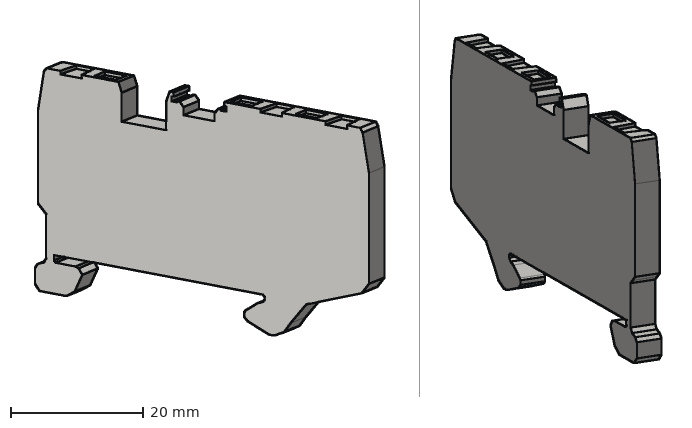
import cadquery as cq

length = 61.2
thickness = 4.2
height = 35.4

notch_left = 15.9
notch_right = 24.05
notch_depth = 6.2
notch_flare_depth = 1.6
notch_flare = 0.6
seat_center = 30.05
seat_depth = 3.3

underside = 6.1
foot_top = 4.95
wall_left = 0.55
neck_left = 2.0

recess_depth = 0.55
window_centers = (12.4, 37.35, 49.25)
window_length = 3.9
window_width = 2.75
taper_centers = (6.6, 43.25, 55.2)
taper_back_length = 3.25
taper_front_length = 3.9
taper_back_margin = 0.35

seat_half = [
    (4.65, 0),
    (4.6, 0.7),
    (5.0, 0.75),
    (5.0, 1.45),
    (4.1, 1.45),
    (3.85, 1.2),
    (3.55, 1.2),
    (2.8, 2.0),
    (2.8, seat_depth),
]


def top_edge():
    """Points along the top, from the left shoulder to the right shoulder."""
    left_corner = [
        (wall_left, height - 6.85),
        (1.65, height - 0.5),
        (2.15, height),
    ]
    notch = [
        (notch_left - notch_flare, height),
        (notch_left, height - notch_flare_depth),
        (notch_left, height - notch_depth),
        (notch_right, height - notch_depth),
        (notch_right, height - notch_flare_depth),
        (notch_right + notch_flare, height),
    ]
    seat_left = [(seat_center - x, height - d) for x, d in seat_half]
    seat_right = [(seat_center + x, height - d) for x, d in reversed(seat_half)]
    right_corner = [
        (59.6, height),
        (60.05, height - 0.7),
        (length, height - 6.85),
    ]
    return left_corner + notch + seat_left + seat_right + right_corner


def right_foot():
    """Points from the right wall, around the right foot, to the underside."""
    return [
        (length, 11.0),
        (59.85, 9.3),
        (49.7, 5.9),
        (46.8, 2.45),
        (45.6, 0.8),
        (43.8, 0),
        (42.9, 0),
        (39.0, 1.45),
        (38.3, 2.1),
        (38.3, 2.8),
        (38.55, 3.1),
        (40.7, 4.6),
        (41.55, 4.9),
        (42.05, 5.4),
        (42.05, 5.8),
        (41.75, underside),
    ]


def left_foot():
    """Points from the underside, around the left foot, up to the left wall."""
    return [
        (3.5, underside),
        (3.5, foot_top + 0.3),
        (3.8, foot_top),
        (7.45, foot_top),
        (8.0, 4.8),
        (8.7, 3.85),
        (7.3, 1.0),
        (5.75, 0),
        (0.85, 0),
        (0, 1.0),
        (0, 3.55),
        (0.5, 4.2),
        (1.5, 4.6),
        (neck_left, 5.3),
        (neck_left, 12.35),
        (1.4, 13.0),
        (wall_left, 13.8),
    ]


def plate():
    """Full outline, extruded from the front face (Y = 0) to the back face."""
    outline = top_edge() + right_foot() + left_foot()
    return cq.Workplane("XZ").polyline(outline).close().extrude(-thickness)


def window_pockets():
    """Rectangular pockets centred across the thickness."""
    centers = [(x, thickness / 2) for x in window_centers]
    floor = cq.Workplane("XY", origin=(0, 0, height - recess_depth))
    return floor.pushPoints(centers).rect(window_length, window_width).extrude(recess_depth)


def taper_pocket(center):
    """Trapezoidal pocket, open at the front face and narrower at the back."""
    back = thickness - taper_back_margin
    floor = cq.Workplane("XY", origin=(center, 0, height - recess_depth))
    corners = [
        (-taper_front_length / 2, 0),
        (taper_front_length / 2, 0),
        (taper_back_length / 2, back),
        (-taper_back_length / 2, back),
    ]
    return floor.polyline(corners).close().extrude(recess_depth)


result = plate().cut(window_pockets())
for taper_center in taper_centers:
    result = result.cut(taper_pocket(taper_center))